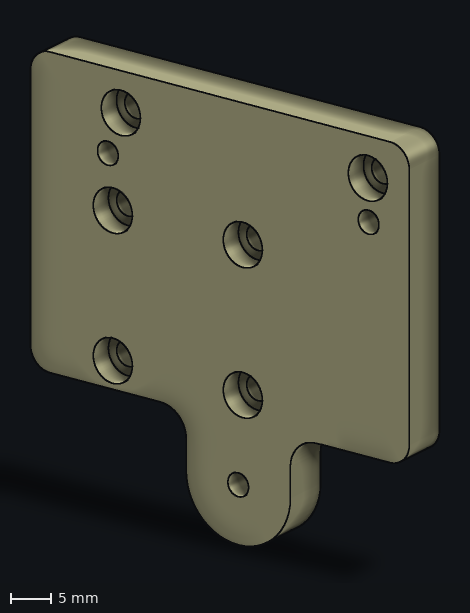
import cadquery as cq

width = 58.3
height = 59.0
thickness = 6.35
plate_height = 42.7
corner_radius = 3.0

tab_x = 31.95
tab_radius = 8.0
fillet_radius = 4.0
tab_overlap = 2.95

screw_diameter = 3.5
counterbore_diameter = 6.0
counterbore_depth = 3.2
pin_diameter = 3.2

square_pitch = 20.0
square_x = 12.7
square_z = 20.1
top_screw_xs = (13.9, 51.9)
top_screw_z = 53.4

pin_xs = (11.9, 52.0)
pin_z = 47.55

plate_bottom = height - plate_height


def make_plate():
    """Rectangular plate with rounded corners."""
    return (
        cq.Workplane("XZ")
        .center(width / 2, plate_bottom + plate_height / 2)
        .rect(width, plate_height)
        .extrude(-thickness)
        .edges("|Y")
        .fillet(corner_radius)
    )


def make_tab():
    """Round-ended tab that flares into the plate through two concave fillets."""
    left = tab_x - tab_radius
    right = tab_x + tab_radius
    fillet_bottom = plate_bottom - fillet_radius
    tab_top = plate_bottom + tab_overlap
    return (
        cq.Workplane("XZ")
        .moveTo(left, tab_radius)
        .threePointArc((tab_x, 0), (right, tab_radius))
        .lineTo(right, fillet_bottom)
        .radiusArc((right + fillet_radius, plate_bottom), fillet_radius)
        .lineTo(right + fillet_radius, tab_top)
        .lineTo(left - fillet_radius, tab_top)
        .lineTo(left - fillet_radius, plate_bottom)
        .radiusArc((left, fillet_bottom), fillet_radius)
        .close()
        .extrude(-thickness)
    )


def make_cylinders(points, diameter, depth):
    """Cylinders that start at the front face and run toward +Y."""
    return cq.Workplane("XZ").pushPoints(points).circle(diameter / 2).extrude(-depth)


screw_points = [(x, top_screw_z) for x in top_screw_xs]
for column in range(2):
    for row in range(2):
        screw_points.append((square_x + column * square_pitch, square_z + row * square_pitch))

pin_points = [(x, pin_z) for x in pin_xs]
pin_points.append((tab_x, tab_radius))

result = (
    make_plate()
    .union(make_tab())
    .cut(make_cylinders(screw_points, screw_diameter, thickness))
    .cut(make_cylinders(screw_points, counterbore_diameter, counterbore_depth))
    .cut(make_cylinders(pin_points, pin_diameter, thickness))
)